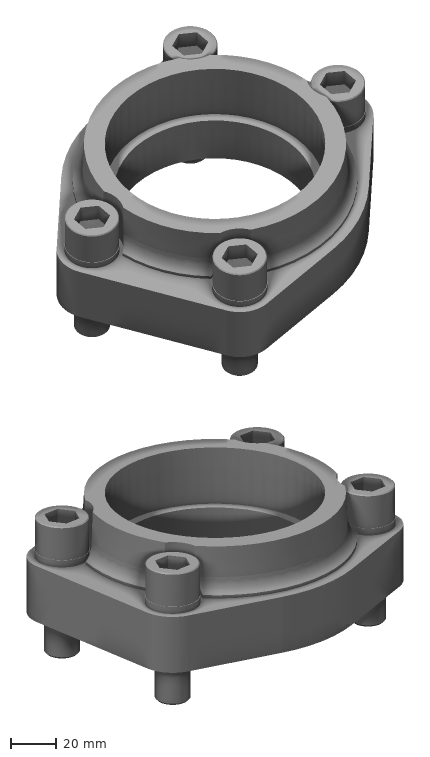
import cadquery as cq
import math

flange_thickness = 27.0
flange_length = 152.0
flange_width = 136.0
flange_half_length = flange_length / 2
side_radius = flange_width / 2

screw_x = 35.0
screw_y = 60.3
corner_radius = flange_half_length - screw_y

hub_top_z = 50.0
hub_top_radius = 57.9
hub_neck_z = 35.5
hub_neck_radius = 58.8
hub_foot_z = 28.5
hub_foot_radius = 63.0
screw_relief_radius = 14.0

lower_bore_diameter = 89.0
upper_bore_diameter = 97.5
bore_step_z = 22.8

washer_diameter = 24.5
washer_thickness = 3.3
head_diameter = 24.0
head_height = 16.0
head_chamfer = 0.5
shank_diameter = 16.0
shank_projection = 19.5
shank_chamfer = 1.0
socket_across_flats = 14.0
socket_depth = 8.0

screw_positions = [(sx * screw_x, sy * screw_y) for sx in (-1, 1) for sy in (-1, 1)]


def make_flange():
    """Plate bounded by two large side arcs and four corner arcs, all joined by tangent lines."""
    center_distance = math.hypot(screw_x, screw_y)
    center_angle = math.atan2(screw_y, screw_x)
    tangent_angle = center_angle - math.acos((side_radius - corner_radius) / center_distance)
    normal_x = math.cos(tangent_angle)
    normal_y = math.sin(tangent_angle)
    side_x = side_radius * normal_x
    side_y = side_radius * normal_y
    corner_x = screw_x + corner_radius * normal_x
    corner_y = screw_y + corner_radius * normal_y
    mid_angle = (tangent_angle + math.pi / 2) / 2
    mid_x = screw_x + corner_radius * math.cos(mid_angle)
    mid_y = screw_y + corner_radius * math.sin(mid_angle)

    return (
        cq.Workplane("XY")
        .moveTo(side_x, -side_y)
        .threePointArc((side_radius, 0), (side_x, side_y))
        .lineTo(corner_x, corner_y)
        .threePointArc((mid_x, mid_y), (screw_x, flange_half_length))
        .lineTo(-screw_x, flange_half_length)
        .threePointArc((-mid_x, mid_y), (-corner_x, corner_y))
        .lineTo(-side_x, side_y)
        .threePointArc((-side_radius, 0), (-side_x, -side_y))
        .lineTo(-corner_x, -corner_y)
        .threePointArc((-mid_x, -mid_y), (-screw_x, -flange_half_length))
        .lineTo(screw_x, -flange_half_length)
        .threePointArc((mid_x, -mid_y), (corner_x, -corner_y))
        .close()
        .extrude(flange_thickness)
    )


def make_hub():
    """Revolved hub on the flange, scalloped around each screw head."""
    foot_width = hub_foot_radius - hub_neck_radius
    foot_height = hub_neck_z - hub_foot_z
    foot_arc_radius = (foot_width**2 + foot_height**2) / (2 * foot_width)
    half_sweep = math.atan2(foot_width, foot_height)
    arc_middle = (
        hub_neck_radius + foot_arc_radius * (1 - math.cos(half_sweep)),
        hub_neck_z - foot_arc_radius * math.sin(half_sweep),
    )
    hub = (
        cq.Workplane("XZ")
        .lineTo(hub_foot_radius, 0)
        .lineTo(hub_foot_radius, hub_foot_z)
        .threePointArc(arc_middle, (hub_neck_radius, hub_neck_z))
        .lineTo(hub_top_radius, hub_top_z)
        .lineTo(0, hub_top_z)
        .close()
        .revolve(360, (0, 0, 0), (0, 1, 0))
    )
    reliefs = (
        cq.Workplane("XY")
        .pushPoints(screw_positions)
        .circle(screw_relief_radius)
        .extrude(hub_top_z)
    )
    return hub.cut(reliefs)


def make_bore():
    """Through bore with a wider upper part."""
    lower = cq.Workplane("XY").circle(lower_bore_diameter / 2).extrude(hub_top_z)
    upper = (
        cq.Workplane("XY")
        .workplane(offset=bore_step_z)
        .circle(upper_bore_diameter / 2)
        .extrude(hub_top_z - bore_step_z)
    )
    return lower.union(upper)


def make_screw():
    """Washer, socket head and shank on the Z axis, at their height on the flange."""
    head_bottom_z = flange_thickness + washer_thickness
    socket_corner_diameter = socket_across_flats / math.cos(math.pi / 6)
    shank = (
        cq.Workplane("XY")
        .workplane(offset=-shank_projection)
        .circle(shank_diameter / 2)
        .extrude(shank_projection + head_bottom_z)
        .faces("<Z")
        .chamfer(shank_chamfer)
    )
    washer = (
        cq.Workplane("XY")
        .workplane(offset=flange_thickness)
        .circle(washer_diameter / 2)
        .extrude(washer_thickness)
    )
    head = (
        cq.Workplane("XY")
        .workplane(offset=head_bottom_z)
        .circle(head_diameter / 2)
        .extrude(head_height)
        .faces(">Z")
        .chamfer(head_chamfer)
        .faces(">Z")
        .workplane()
        .transformed(rotate=(0, 0, 90))
        .polygon(6, socket_corner_diameter)
        .cutBlind(-socket_depth)
    )
    return shank.union(washer).union(head)


result = make_flange().union(make_hub()).cut(make_bore())
screw = make_screw()
for x, y in screw_positions:
    result = result.union(screw.translate((x, y, 0)))